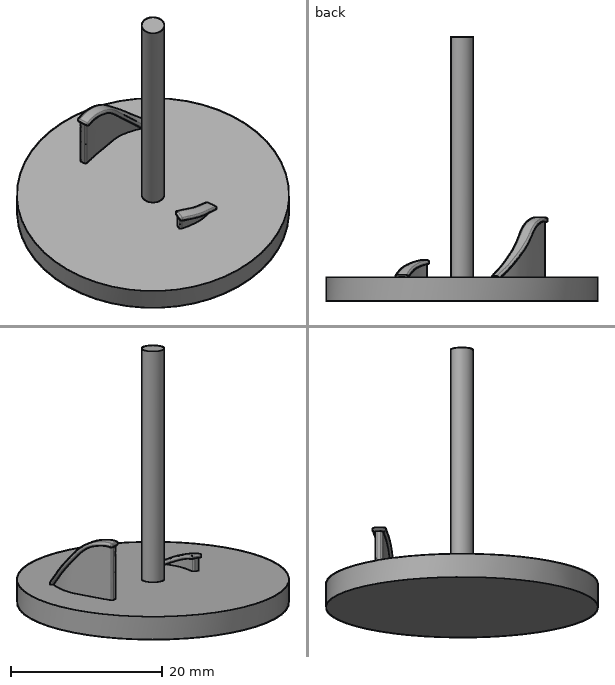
import cadquery as cq

UP = cq.Vector(0, 0, 1)

BASE_DIAMETER = 36.0
BASE_THICKNESS = 3.175
POST_DIAMETER = 3.0
POST_LENGTH = 31.75

CAP_WIDTH = 1.8
CAP_THICKNESS = 0.56
CAP_END_ROUNDING = 0.25
WALL_THICKNESS = 1.0
WALL_ROUNDING = 0.25
WALL_SETBACK = 0.007
SECTION_COUNT = 9

TALL_RAMP = [
    (-10.6, 3.08, 7.75),
    (-9.7, 5.4, 7.72),
    (-8.75, 7.5, 6.65),
    (-7.97, 9.13, 4.87),
    (-6.5, 10.8, 2.53),
    (-4.45, 12.2, 0.2),
]
SHORT_RAMP = [
    (4.84, -4.92, 2.28),
    (5.98, -3.81, 1.98),
    (6.85, -2.72, 1.55),
    (7.51, -1.34, 0.99),
    (7.97, 0.0, 0.32),
]


def make_spine(points):
    """Smooth curve along the middle of the cap."""
    middle = BASE_THICKNESS - CAP_THICKNESS / 2
    stations = [cq.Vector(x, y, middle + height) for x, y, height in points]
    return cq.Edge.makeSpline(stations)


def make_base():
    base = cq.Workplane("XY").circle(BASE_DIAMETER / 2).extrude(BASE_THICKNESS)
    post = (
        cq.Workplane("XY")
        .workplane(offset=BASE_THICKNESS)
        .circle(POST_DIAMETER / 2)
        .extrude(POST_LENGTH)
    )
    return base.union(post)


def make_cap(spine):
    """Rounded strip whose section stays square to the sloping spine and level across."""
    sections = []
    for step in range(SECTION_COUNT):
        position = step / (SECTION_COUNT - 1)
        tangent = spine.tangentAt(position)
        plane = cq.Plane(spine.positionAt(position), UP.cross(tangent), tangent)
        sections.append(cq.Workplane(plane).slot2D(CAP_WIDTH, CAP_THICKNESS).wires().val())
    strip = cq.Workplane(cq.Solid.makeLoft(sections))
    high_end = cq.selectors.NearestToPointSelector(spine.startPoint().toTuple())
    return strip.faces(high_end).edges().fillet(CAP_END_ROUNDING)


def wall_edge(spine, offset):
    """Curve beside the spine at a level sideways offset."""
    stations = []
    for step in range(SECTION_COUNT):
        position = WALL_SETBACK + (1 - WALL_SETBACK) * step / (SECTION_COUNT - 1)
        across = UP.cross(spine.tangentAt(position)).normalized()
        stations.append(spine.positionAt(position) + across * offset)
    return cq.Edge.makeSpline(stations)


def make_wall(spine):
    """Upright wall whose top runs along the spine inside the cap, trimmed to the base."""
    left = wall_edge(spine, WALL_THICKNESS / 2)
    right = wall_edge(spine, -WALL_THICKNESS / 2)
    top = cq.Face.makeRuledSurface(left, right)
    height = spine.startPoint().z
    wall = cq.Workplane(cq.Solid.extrudeLinear(top, UP * -height))
    wall = wall.edges("|Z").fillet(WALL_ROUNDING)
    above_base = cq.Workplane("XY").circle(BASE_DIAMETER / 2).extrude(BASE_THICKNESS + height)
    return wall.intersect(above_base)


result = make_base()
for ramp in (TALL_RAMP, SHORT_RAMP):
    spine = make_spine(ramp)
    result = result.union(make_wall(spine)).union(make_cap(spine))